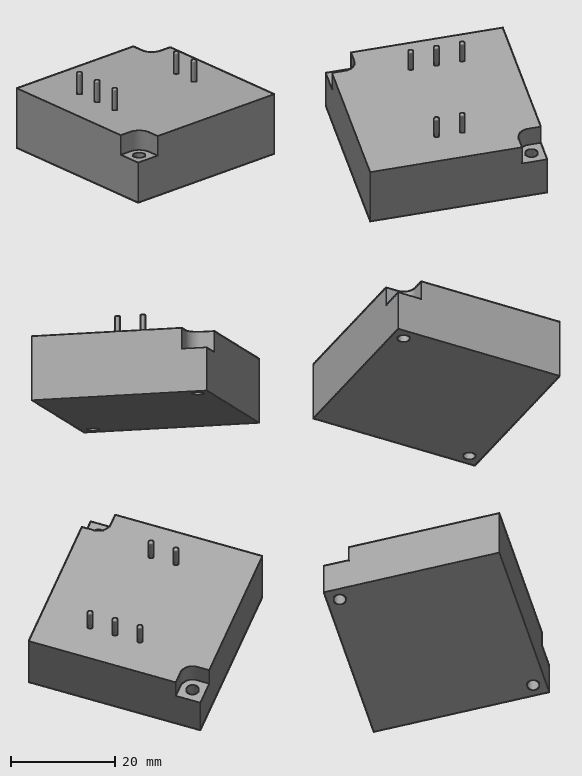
import cadquery as cq

BODY_SIDE = 35.0
BODY_HEIGHT = 12.5
OVERALL_HEIGHT = 16.93

LEDGE_SIDE = 5.0
LEDGE_DEPTH = 4.1
LEDGE_RADIUS = LEDGE_SIDE / 2
MOUNT_HOLE_DIAMETER = 2.4
LEDGE_CENTER = (BODY_SIDE - LEDGE_SIDE) / 2

GRID = 2.54
PIN_DIAMETER = 1.02
PIN_HEIGHT = OVERALL_HEIGHT - BODY_HEIGHT
PIN_TIP_RADIUS = 0.3
ROW_OFFSET = 4 * GRID
BACK_ROW_X = [GRID, -GRID]
FRONT_ROW_X = [GRID, -GRID, -3 * GRID]

LEDGE_CORNERS = [(-1, 1), (1, -1)]


def make_body():
    """Plain square block standing on Z = 0."""
    return cq.Workplane("XY").box(BODY_SIDE, BODY_SIDE, BODY_HEIGHT, centered=(True, True, False))


def ledge_cutter(x_sign, y_sign):
    """Square corner recess whose inner vertical edge is rounded."""
    inner_edge = ("<X" if x_sign > 0 else ">X") + " and " + ("<Y" if y_sign > 0 else ">Y")
    return (
        cq.Workplane("XY", origin=(0, 0, BODY_HEIGHT - LEDGE_DEPTH))
        .center(x_sign * LEDGE_CENTER, y_sign * LEDGE_CENTER)
        .rect(LEDGE_SIDE, LEDGE_SIDE)
        .extrude(LEDGE_DEPTH)
        .edges("|Z")
        .edges(inner_edge)
        .fillet(LEDGE_RADIUS)
    )


def mount_hole_cutter(x_sign, y_sign):
    """Through hole in the middle of a ledge."""
    return (
        cq.Workplane("XY")
        .center(x_sign * LEDGE_CENTER, y_sign * LEDGE_CENTER)
        .circle(MOUNT_HOLE_DIAMETER / 2)
        .extrude(BODY_HEIGHT)
    )


def make_pins(x_positions, y_position):
    """Row of round pins with rounded tips, standing on the top face."""
    centers = [(x, y_position) for x in x_positions]
    return (
        cq.Workplane("XY", origin=(0, 0, BODY_HEIGHT))
        .pushPoints(centers)
        .circle(PIN_DIAMETER / 2)
        .extrude(PIN_HEIGHT)
        .faces(">Z")
        .edges()
        .fillet(PIN_TIP_RADIUS)
    )


result = make_body()
for corner in LEDGE_CORNERS:
    result = result.cut(ledge_cutter(*corner))
    result = result.cut(mount_hole_cutter(*corner))

result = result.union(make_pins(BACK_ROW_X, ROW_OFFSET))
result = result.union(make_pins(FRONT_ROW_X, -ROW_OFFSET))